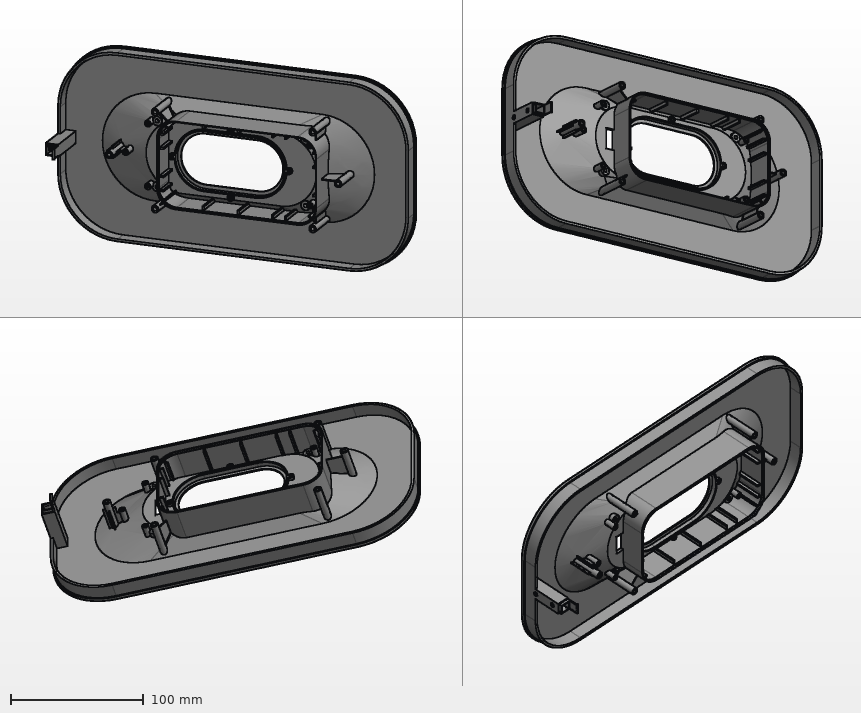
import cadquery as cq
import math


LENGTH = 287.0
HEIGHT = 152.0
CORNER_RADIUS = 49.5
PLATE_THICKNESS = 2.5
RIM_INSET = 1.1
RIM_WALL = 2.0
RIM_DEPTH = 13.5

HILL_BASE_LENGTH = 221.0
HILL_BASE_HEIGHT = 85.5
HILL_TOP_LENGTH = 138.3
HILL_TOP_HEIGHT = 58.0
HILL_DEPTH = 17.2

OPENING_LENGTH = 83.0
OPENING_HEIGHT = 40.5
RING_LENGTH = 90.7
RING_HEIGHT = 48.8
RING_WALL = 1.1
RING_RISE = 2.3
RING_DEPTH = HILL_DEPTH + RING_RISE
RECESS_DEPTH = 1.5

BOX_LENGTH = 129.7
BOX_HEIGHT = 70.0
BOX_X = 12.5
BOX_RADIUS = 15.5
BOX_WALL = 1.3
BOX_DEPTH = 38.0
CORNER_SETBACK = BOX_RADIUS * (1 - 1 / math.sqrt(2))
MOUTH_STEP = 0.5
MOUTH_DEPTH = 1.7

RIB_WIDTH = 1.5
RIB_HEIGHT = 3.0
RIB_END_DEPTH = 34.7
LONG_WALL_RIBS_X = (-15.8, 12.5, 40.5, 51.0)
END_WALL_RIBS_Z = (-22.5, -11.2, 11.2, 22.5)

WINDOW_LENGTH = 7.2
WINDOW_HEIGHT = 16.6

POST_RADIUS = 3.0
POST_DEPTH = 32.7
POST_HOLE_RADIUS = 1.5
POST_HOLE_LENGTH = 19.2
END_POST_X = 93.0
CORNER_POST_Z = 38.5
LEFT_POST_X = -55.7
RIGHT_POST_X = 72.3

PIN_RADIUS = 2.45
PIN_DEPTH = 22.5
PIN_HOLE_RADIUS = 1.1
PIN_HOLE_LENGTH = 3.0
END_PIN_X = -83.8
LEFT_PIN = (-65.7, 25.0)
RIGHT_PIN = (66.0, 23.8)
RING_PIN_X = 47.4
RING_PIN_Z = 27.0

BOSS_RADIUS = 3.7
BOSS_HOLE_RADIUS = 1.5
BOSS_X = 60.3
BOSS_Z = 26.0

WEB_WIDTH = 1.0
WEB_DEPTH = 27.5
CROSS_LENGTH = 9.8
CROSS_DEPTH = 25.8
PIN_WEB_DEPTH = 20.5

LATCH_LEFT = RIM_INSET - LENGTH / 2
LATCH_LENGTH = 10.3
LATCH_HEIGHT = 9.8
LATCH_WALL = 1.7
LATCH_DEPTH = BOX_DEPTH
COLLAR_INSET = 1.0
COLLAR_WALL = LATCH_WALL - COLLAR_INSET
COLLAR_DEPTH = 40.5
TONGUE_WALL = 1.0
TONGUE_DEPTH = 48.5
BEAD_RADIUS = 1.0
LATCH_HOLE_RADIUS = 1.7
LATCH_RECESS_RADIUS = 3.5
LATCH_RECESS_DEPTH = 0.5
LATCH_HOLE_DEPTHS = (13.8, 31.5)


def plane_at(depth):
    return cq.Workplane("XZ", origin=(0, -depth, 0))


def block(x, z, length, height, start, end):
    return plane_at(start).center(x, z).rect(length, height).extrude(end - start)


def rounded_block(x, length, height, radius, start, end):
    return block(x, 0, length, height, start, end).edges("|Y").fillet(radius)


def stadium(length, height, start, end):
    return plane_at(start).slot2D(length, height).extrude(end - start)


def cylinders(points, radius, start, end):
    return plane_at(start).pushPoints(points).circle(radius).extrude(end - start)


def web(start_point, end_point, width, end_depth):
    """Upright web between two (x, z) points."""
    dx = end_point[0] - start_point[0]
    dz = end_point[1] - start_point[1]
    middle = ((start_point[0] + end_point[0]) / 2, (start_point[1] + end_point[1]) / 2)
    flat = plane_at(0).center(*middle).transformed(rotate=(0, 0, math.degrees(math.atan2(dz, dx))))
    return flat.rect(math.hypot(dx, dz), width).extrude(end_depth)


def hill(base_depth, top_depth):
    base = plane_at(base_depth).slot2D(HILL_BASE_LENGTH, HILL_BASE_HEIGHT)
    top = base.workplane(offset=top_depth - base_depth).slot2D(HILL_TOP_LENGTH, HILL_TOP_HEIGHT)
    return top.loft(ruled=True, combine=True)


def mirrored(points):
    """Points together with their mirror images across Z = 0."""
    return points + [(x, -z) for x, z in points]


def make_tray():
    plate = rounded_block(0, LENGTH, HEIGHT, CORNER_RADIUS, 0, PLATE_THICKNESS)
    rim_length = LENGTH - 2 * RIM_INSET
    rim_height = HEIGHT - 2 * RIM_INSET
    rim_radius = CORNER_RADIUS - RIM_INSET
    rim = rounded_block(0, rim_length, rim_height, rim_radius, 0, RIM_DEPTH)
    rim_space = rounded_block(
        0, rim_length - 2 * RIM_WALL, rim_height - 2 * RIM_WALL, rim_radius - RIM_WALL,
        PLATE_THICKNESS, RIM_DEPTH,
    )
    return plate.union(rim.cut(rim_space))


def make_box():
    def layer(inset, start, end):
        return rounded_block(
            BOX_X, BOX_LENGTH - 2 * inset, BOX_HEIGHT - 2 * inset, BOX_RADIUS - inset, start, end
        )

    frame = layer(0, 0, BOX_DEPTH).cut(layer(BOX_WALL, 0, BOX_DEPTH))
    return frame.cut(layer(BOX_WALL - MOUTH_STEP, BOX_DEPTH - MOUTH_DEPTH, BOX_DEPTH))


def make_box_ribs():
    ribs = cq.Workplane("XZ")
    root = BOX_WALL / 2
    reach = BOX_WALL + RIB_HEIGHT
    half_length = BOX_LENGTH / 2
    half_height = BOX_HEIGHT / 2
    for side in (-1, 1):
        for x in LONG_WALL_RIBS_X:
            wall_point = (x, side * (half_height - root))
            ribs = ribs.union(web(wall_point, (x, side * (half_height - reach)), RIB_WIDTH, RIB_END_DEPTH))
        for z in END_WALL_RIBS_Z:
            wall_point = (BOX_X + side * (half_length - root), z)
            tip = (BOX_X + side * (half_length - reach), z)
            ribs = ribs.union(web(wall_point, tip, RIB_WIDTH, RIB_END_DEPTH))
        for up in (-1, 1):
            ends = []
            for inward in (root, reach):
                shift = CORNER_SETBACK + inward / math.sqrt(2)
                ends.append((BOX_X + side * (half_length - shift), up * (half_height - shift)))
            ribs = ribs.union(web(*ends, RIB_WIDTH, RIB_END_DEPTH))
    return ribs


def make_webs():
    box_left = BOX_X - BOX_LENGTH / 2
    box_right = BOX_X + BOX_LENGTH / 2
    corner_z = BOX_HEIGHT / 2 - CORNER_SETBACK
    webs = web((box_right, 0), (END_POST_X, 0), WEB_WIDTH, WEB_DEPTH)
    for up in (-1, 1):
        for post_x, corner_x in (
            (LEFT_POST_X, box_left + CORNER_SETBACK),
            (RIGHT_POST_X, box_right - CORNER_SETBACK),
        ):
            post = (post_x, up * CORNER_POST_Z)
            webs = webs.union(web(post, (corner_x, up * corner_z), WEB_WIDTH, WEB_DEPTH))
    webs = webs.union(web((-END_POST_X, 0), (END_PIN_X, 0), WEB_WIDTH, PIN_WEB_DEPTH))
    webs = webs.union(block(-END_POST_X, 0, CROSS_LENGTH, WEB_WIDTH, 0, CROSS_DEPTH))
    return webs.union(block(-END_POST_X, 0, WEB_WIDTH, CROSS_LENGTH, 0, CROSS_DEPTH))


def make_latch():
    x = LATCH_LEFT + LATCH_LENGTH / 2

    def tube(inset, wall, start, end):
        length = LATCH_LENGTH - 2 * inset
        height = LATCH_HEIGHT - 2 * inset
        outer = block(x, 0, length, height, start, end)
        return outer.cut(block(x, 0, length - 2 * wall, height - 2 * wall, start, end))

    body = tube(0, LATCH_WALL, 0, LATCH_DEPTH)
    collar = tube(COLLAR_INSET, COLLAR_WALL, PLATE_THICKNESS, COLLAR_DEPTH)
    tongue_height = LATCH_HEIGHT - 2 * COLLAR_INSET
    tongue_face = LATCH_LEFT + LATCH_LENGTH
    tongue_x = tongue_face - TONGUE_WALL / 2
    tongue = block(tongue_x, 0, TONGUE_WALL, tongue_height, LATCH_DEPTH, TONGUE_DEPTH)
    bead = (
        cq.Workplane("XY", origin=(tongue_face, BEAD_RADIUS - TONGUE_DEPTH, 0))
        .circle(BEAD_RADIUS)
        .extrude(tongue_height / 2, both=True)
    )
    return body.union(collar).union(tongue).union(bead)


def latch_holes():
    """Holes through the outer latch wall, each with a shallow recess on the inside."""
    points = [(-depth, 0) for depth in LATCH_HOLE_DEPTHS]
    outer_face = cq.Workplane("YZ", origin=(LATCH_LEFT, 0, 0))
    holes = outer_face.pushPoints(points).circle(LATCH_HOLE_RADIUS).extrude(LATCH_WALL)
    recess_face = outer_face.workplane(offset=LATCH_WALL - LATCH_RECESS_DEPTH).pushPoints(points)
    return holes.union(recess_face.circle(LATCH_RECESS_RADIUS).extrude(LATCH_RECESS_DEPTH))


post_points = [(-END_POST_X, 0), (END_POST_X, 0)]
post_points += mirrored([(LEFT_POST_X, CORNER_POST_Z), (RIGHT_POST_X, CORNER_POST_Z)])
pin_points = [(END_PIN_X, 0)] + mirrored([LEFT_PIN, RIGHT_PIN])
ring_pin_points = [(-RING_PIN_X, 0), (RING_PIN_X, 0), (0, RING_PIN_Z), (0, -RING_PIN_Z)]
boss_points = mirrored([(-BOSS_X, BOSS_Z), (BOSS_X, BOSS_Z)])

ring = stadium(RING_LENGTH, RING_HEIGHT, 0, RING_DEPTH)
ring_space = stadium(
    RING_LENGTH - 2 * RING_WALL, RING_HEIGHT - 2 * RING_WALL, HILL_DEPTH - RECESS_DEPTH, RING_DEPTH
)

result = make_tray().union(hill(PLATE_THICKNESS, HILL_DEPTH))
result = result.union(ring).union(make_box()).union(make_box_ribs()).union(make_webs())
result = result.union(cylinders(post_points, POST_RADIUS, 0, POST_DEPTH))
result = result.union(cylinders(pin_points, PIN_RADIUS, 0, PIN_DEPTH))
result = result.union(cylinders(ring_pin_points, PIN_RADIUS, 0, RING_DEPTH))
result = result.union(cylinders(boss_points, BOSS_RADIUS, 0, HILL_DEPTH))
result = result.union(make_latch())

result = result.cut(hill(0, HILL_DEPTH - PLATE_THICKNESS))

window_x = BOX_X - BOX_LENGTH / 2 - WINDOW_LENGTH / 2
result = result.cut(ring_space)
result = result.cut(stadium(OPENING_LENGTH, OPENING_HEIGHT, 0, HILL_DEPTH))
result = result.cut(block(window_x, 0, WINDOW_LENGTH, WINDOW_HEIGHT, 0, HILL_DEPTH))
result = result.cut(cylinders(boss_points, BOSS_HOLE_RADIUS, 0, HILL_DEPTH))
for points, radius, length, depth in (
    (post_points, POST_HOLE_RADIUS, POST_HOLE_LENGTH, POST_DEPTH),
    (pin_points, PIN_HOLE_RADIUS, PIN_HOLE_LENGTH, PIN_DEPTH),
    (ring_pin_points, PIN_HOLE_RADIUS, PIN_HOLE_LENGTH, RING_DEPTH),
):
    result = result.cut(cylinders(points, radius, depth - length, depth))
result = result.cut(latch_holes())